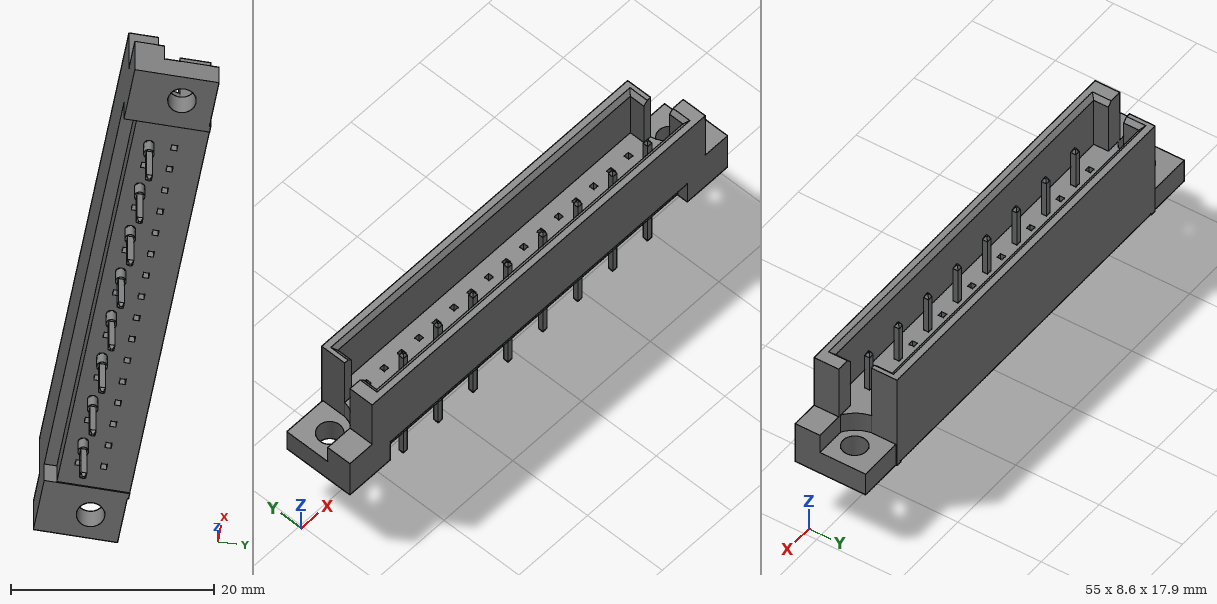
import cadquery as cq

length = 55.0
depth = 8.6
height = 11.55
ledge_height = 5.1
flange_height = 2.8
flange_setback = 0.14

front_wall_length = 48.5
front_return_end = 2.95
front_wall_thickness = 1.2
front_cavity_length = 44.55
rear_wall_length = 44.55
rear_return_start = 5.5
rear_wall_thickness = 1.25
rear_cavity_length = 42.55
lead_in = 0.5

hole_spacing = 49.5
hole_y = 5.2
hole_diameter = 2.8

floor_front_length = 47.85
clearance_radius = 3.85

front_recess_length = 43.25
front_recess_depth = 1.25
front_recess_height = 2.95
standoff = 0.15

columns = 16
row_length = 38.1
pitch = row_length / (columns - 1)
front_row_y = 2.95
row_ys = (front_row_y, front_row_y + pitch)
pin_width = 0.6
pin_top = 9.9
pin_bottom = -6.3
tip_length = 0.45
tip_width = 0.2
collar_diameter = 1.05
collar_top = 0.0
collar_bottom = -1.65
column_xs = [i * pitch - row_length / 2 for i in range(columns)]
pin_xs = column_xs[1::2]


def block(x_size, y_start, y_end, z_start, z_end):
    """Box centred on X between the given Y and Z limits."""
    return (
        cq.Workplane("XY", origin=(0, y_start, z_start))
        .box(x_size, y_end - y_start, z_end - z_start, centered=(True, False, False))
    )


def lead_in_cut(cavity_length, y_start, y_end):
    """Tapered cut that chamfers a cavity mouth; it is widest at the top of the walls."""
    middle_y = (y_start + y_end) / 2
    cavity_width = y_end - y_start
    return (
        cq.Workplane("XY", origin=(0, middle_y, height - lead_in))
        .rect(cavity_length, cavity_width)
        .workplane(offset=lead_in)
        .rect(cavity_length + 2 * lead_in, cavity_width + 2 * lead_in)
        .loft(ruled=True)
    )


def make_front_wall():
    wall = block(front_wall_length, 0, front_return_end, 0, height)
    cavity = block(front_cavity_length, front_wall_thickness, depth, ledge_height, height)
    return wall.cut(cavity).cut(lead_in_cut(front_cavity_length, front_wall_thickness, depth))


def make_rear_wall():
    inner_y = depth - rear_wall_thickness
    wall = block(rear_wall_length, rear_return_start, depth, 0, height)
    cavity = block(rear_cavity_length, 0, inner_y, ledge_height, height)
    return wall.cut(cavity).cut(lead_in_cut(rear_cavity_length, 0, inner_y))


def make_floor():
    """Cavity floor between the end returns, with concave arcs at both ends."""
    front_x = floor_front_length / 2
    rear_x = rear_wall_length / 2
    return (
        cq.Workplane("XY")
        .moveTo(-rear_x, rear_return_start)
        .radiusArc((-front_x, front_return_end), clearance_radius)
        .lineTo(front_x, front_return_end)
        .radiusArc((rear_x, rear_return_start), clearance_radius)
        .close()
        .extrude(ledge_height)
    )


def make_base():
    """Rear flanges, front ledge and cavity floor."""
    flange = block(length, 0, depth - flange_setback, 0, flange_height)
    ledge = block(length, 0, front_return_end, 0, ledge_height)
    return flange.union(ledge).union(make_floor())


def make_housing():
    body = make_base().union(make_front_wall()).union(make_rear_wall())
    mounting_holes = (
        cq.Workplane("XY", origin=(0, hole_y, 0))
        .pushPoints([(-hole_spacing / 2, 0), (hole_spacing / 2, 0)])
        .circle(hole_diameter / 2)
        .extrude(height)
    )
    contact_holes = (
        cq.Workplane("XY")
        .pushPoints([(x, y) for y in row_ys for x in column_xs])
        .rect(pin_width, pin_width)
        .extrude(ledge_height)
    )
    front_recess = block(front_recess_length, 0, front_recess_depth, 0, front_recess_height)
    raised_underside = block(front_recess_length, 0, depth, 0, standoff)
    return body.cut(mounting_holes).cut(contact_holes).cut(front_recess).cut(raised_underside)


def make_tip(z_base, z_end):
    """Tapered square pin end, narrowing from z_base to z_end."""
    return (
        cq.Workplane("XY", origin=(0, 0, z_base))
        .rect(pin_width, pin_width)
        .workplane(offset=z_end - z_base)
        .rect(tip_width, tip_width)
        .loft(ruled=True)
    )


def make_pin(x):
    """Square pin with pointed ends and a round collar just below the underside."""
    shank_bottom = pin_bottom + tip_length
    shank_top = pin_top - tip_length
    pin = block(pin_width, -pin_width / 2, pin_width / 2, shank_bottom, shank_top)
    collar = (
        cq.Workplane("XY", origin=(0, 0, collar_bottom))
        .circle(collar_diameter / 2)
        .extrude(collar_top - collar_bottom)
    )
    pin = pin.union(collar)
    pin = pin.union(make_tip(shank_bottom, pin_bottom))
    pin = pin.union(make_tip(shank_top, pin_top))
    return pin.translate((x, front_row_y, 0))


housing = make_housing()
pins = [make_pin(x) for x in pin_xs]

result = cq.Compound.makeCompound([housing.val(), *[pin.val() for pin in pins]])